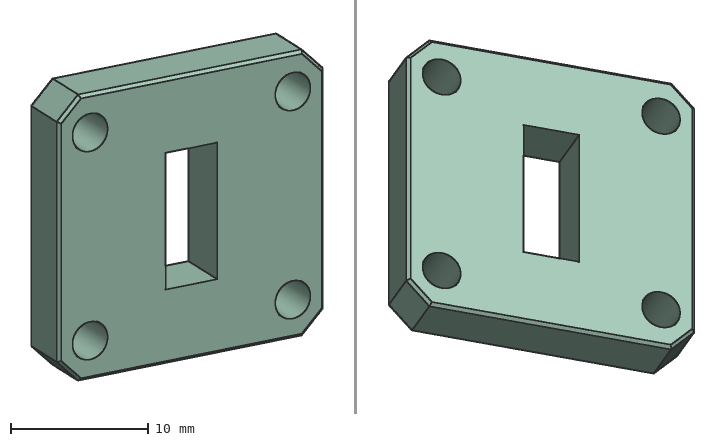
import cadquery as cq

THICKNESS = 4.27
SIDE = 22.35
CORNER_CHAMFER = 1.8
EDGE_CHAMFER = 0.25

OPENING_Y = 4.318
OPENING_Z = 10.668

HOLE_DIAMETER = 2.95
HOLE_SPACING_Y = 17.02
HOLE_SPACING_Z = 16.26


def flange_plate():
    """Square plate with cut corners and a small chamfer around both faces."""
    plate = cq.Workplane("YZ").rect(SIDE, SIDE).extrude(THICKNESS / 2, both=True)
    plate = plate.edges("|X").chamfer(CORNER_CHAMFER)
    return plate.faces("<X or >X").edges().chamfer(EDGE_CHAMFER)


def waveguide_opening():
    """Rectangular bar that cuts the opening through the full thickness."""
    return cq.Workplane("YZ").rect(OPENING_Y, OPENING_Z).extrude(THICKNESS / 2, both=True)


def bolt_holes():
    """Cylinders that cut the four bolt holes through the full thickness."""
    return (
        cq.Workplane("YZ")
        .rect(HOLE_SPACING_Y, HOLE_SPACING_Z, forConstruction=True)
        .vertices()
        .circle(HOLE_DIAMETER / 2)
        .extrude(THICKNESS / 2, both=True)
    )


result = flange_plate().cut(waveguide_opening()).cut(bolt_holes())